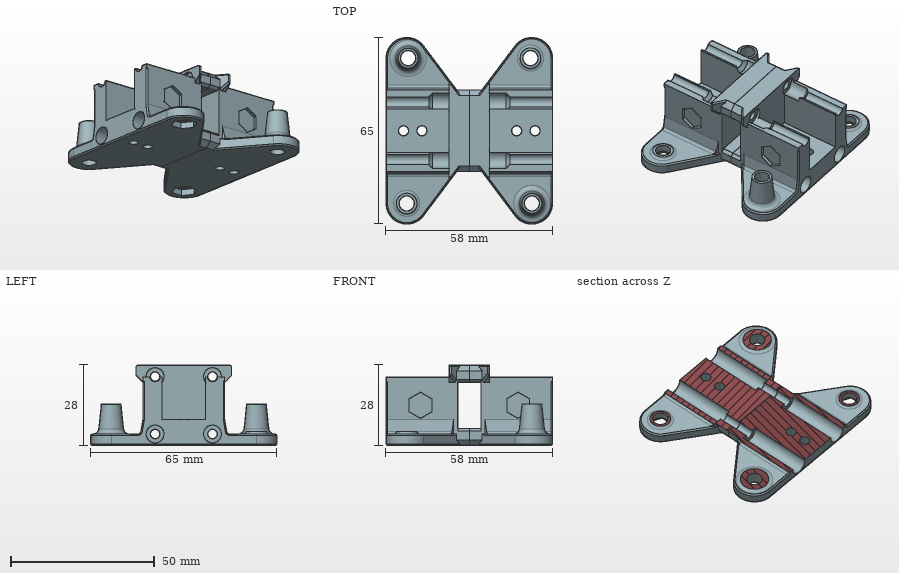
import cadquery as cq
import math

length = 58.0
width = 65.0
height = 28.0
half_length = length / 2
half_width = width / 2
edge_chamfer = 0.5
overcut = 1.0

seam_normal_limit = 0.99
side_normal_limit = 0.1

base_thickness = 4.0
pad_radius = 7.25
pad_x = half_length - pad_radius
pad_y = half_width - pad_radius

block_half_width = 14.25
block_chamfer = 2.0
waist_x = 4.45
window_half_length = 4.0
window_bottom = 5.0
window_top = 23.0
window_chamfer = 1.0

head_half_length = 7.0
head_half_width = 16.67
head_bevel_bottom = 22.0
head_blank_half_width = 18.5
head_bevel_top = head_bevel_bottom + head_blank_half_width - block_half_width

channel_half_width = 7.6
floor_height = 9.0
wall_top = 23.8
foot_half_width = 15.12
foot_fillet = 1.0
foot_end_setback = 0.83

waist_run = pad_x - waist_x
waist_rise = pad_y - block_half_width
waist_distance = math.hypot(waist_run, waist_rise)
slant_angle = math.atan2(waist_rise, waist_run) - math.acos(pad_radius / waist_distance)

screw_y = 10.0
lower_screw_z = 4.0
upper_screw_z = 24.0
screw_diameter = 3.2
screw_head_diameter = 6.2
screw_seat_x = 6.0
groove_diameter = 3.6
groove_neck_start_x = 12.8
groove_neck_end_x = groove_neck_start_x + (screw_head_diameter - groove_diameter) / 2

floor_hole_diameter = 3.4
floor_hole_xs = (16.5, 22.9)

hex_flats = 7.9
hex_flats_to_points = math.cos(math.pi / 6)
hex_x = 17.0
hex_z = 14.0
hex_depth = 1.2

boss_bore_diameter = 5.2
front_boss_x = 21.8
rear_boss_x = 21.3
boss_y = 25.3
tall_boss_top = 14.4
tall_boss_top_radius = 3.45
tall_boss_slope = math.radians(6.0)
tall_boss_fillet = 2.0
short_boss_radius = 3.55
short_boss_height = 0.8
short_boss_fillet = 1.0
nut_flats = hex_flats
nut_pocket_depth = 2.2
nut_pocket_turn = 3.0


def box_between(x_range, y_range, z_range):
    """Box given by its limits along each axis."""
    size = [limits[1] - limits[0] for limits in (x_range, y_range, z_range)]
    corner = (x_range[0], y_range[0], z_range[0])
    return cq.Workplane("XY").box(*size, centered=False).translate(corner)


def slant_point(y, setback=0.0):
    """Point at this distance from the X axis on the front slanted side, or on a line set back from it."""
    x = -waist_x - ((block_half_width - y) * math.sin(slant_angle) + setback) / math.cos(slant_angle)
    return (x, -y)


def mirrored_in_y(shape):
    """The shape together with its mirror image across the XZ plane."""
    return shape.union(shape.mirror("XZ"))


def front_quarter_plan():
    """Front left quarter in plan: a rounded pad whose slanted side narrows to the seam."""
    tangent = (
        -pad_x + pad_radius * math.cos(slant_angle),
        -pad_y + pad_radius * math.sin(slant_angle),
    )
    seam_y = block_half_width + waist_x * math.cos(slant_angle) / math.sin(slant_angle)
    middle_angle = (slant_angle - math.pi) / 2
    arc_middle = (
        -pad_x + pad_radius * math.cos(middle_angle),
        -pad_y + pad_radius * math.sin(middle_angle),
    )
    return (
        cq.Workplane("XY")
        .moveTo(-half_length, 0)
        .lineTo(-half_length, -pad_y)
        .threePointArc(arc_middle, tangent)
        .lineTo(0, -seam_y)
        .lineTo(0, 0)
        .close()
        .extrude(height)
    )


def front_half_section():
    """Front half of the section across X: base plate, sloped foot, wall and the still overwide head."""
    section = (
        cq.Workplane("YZ", origin=(-half_length, 0, 0))
        .moveTo(0, 0)
        .lineTo(-half_width, 0)
        .lineTo(-half_width, base_thickness)
        .lineTo(-foot_half_width, base_thickness)
        .lineTo(-block_half_width, floor_height)
        .lineTo(-block_half_width, head_bevel_bottom)
        .lineTo(-head_blank_half_width, head_bevel_top)
        .lineTo(-head_blank_half_width, height)
        .lineTo(0, height)
        .close()
        .extrude(half_length)
    )
    foot_corner = cq.NearestToPointSelector((-half_length / 2, -foot_half_width, base_thickness))
    return section.edges(foot_corner).fillet(foot_fillet)


def rim_edges(body):
    """Edges where the plan outline meets the section: around the end face, the pads and the slanted sides."""
    seam_edges = []
    side_edges = []
    for face in body.faces().vals():
        across = face.normalAt().x
        if across > seam_normal_limit:
            seam_edges += face.Edges()
        elif abs(across) > side_normal_limit:
            side_edges += face.Edges()

    def count(edge, edges):
        return sum(edge.isSame(other) for other in edges)

    return [edge for edge in side_edges if count(edge, side_edges) == 1 and count(edge, seam_edges) == 0]


def chamfered_shell():
    """Left half before any cuts, with a chamfer all around its outline."""
    quarter = front_quarter_plan().intersect(front_half_section())
    shell = mirrored_in_y(quarter).clean()
    return shell.newObject(rim_edges(shell)).chamfer(edge_chamfer)


def foot_end_cut():
    """Material beyond the setback end of the front foot, above the base plate."""
    outer = half_width
    return (
        cq.Workplane("XY", origin=(0, 0, base_thickness))
        .polyline(
            [
                slant_point(block_half_width, foot_end_setback),
                slant_point(outer, foot_end_setback),
                (0, -outer),
                (0, -block_half_width),
            ]
        )
        .close()
        .extrude(head_bevel_bottom - base_thickness)
    )


def overhang_cut():
    """Room outside the front wall where the head is cut away."""
    return box_between(
        (-length, -head_half_length),
        (-half_width, -block_half_width),
        (head_bevel_bottom, height + overcut),
    )


def head_side_cut():
    """Material outside the front side of the head and its chamfered top edge."""
    return (
        cq.Workplane("YZ", origin=(-half_length, 0, 0))
        .polyline(
            [
                (-head_half_width, head_bevel_bottom),
                (-head_half_width, height - edge_chamfer),
                (-head_half_width + edge_chamfer, height),
                (-half_width, height),
                (-half_width, head_bevel_bottom),
            ]
        )
        .close()
        .extrude(half_length)
    )


def middle_block():
    """Left half of the chamfered block that carries the seam face."""
    block = box_between((-head_half_length, 0), (-block_half_width, block_half_width), (0, height))
    return block.edges("|X").chamfer(block_chamfer)


def window_cut():
    """Opening along Y, with sloped top and bottom edges at both mouths."""
    low = window_bottom
    high = window_top
    inner = block_half_width - window_chamfer
    return (
        cq.Workplane("YZ", origin=(-window_half_length, 0, 0))
        .polyline(
            [
                (-block_half_width, low),
                (-inner, low + window_chamfer),
                (inner, low + window_chamfer),
                (block_half_width, low),
                (block_half_width, high),
                (inner, high - window_chamfer),
                (-inner, high - window_chamfer),
                (-block_half_width, high),
            ]
        )
        .close()
        .extrude(window_half_length)
    )


def rod(diameter, y, z, x_start, x_end):
    """Round bar along X."""
    return (
        cq.Workplane("YZ", origin=(x_start, 0, 0))
        .center(y, z)
        .circle(diameter / 2)
        .extrude(x_end - x_start)
    )


def upright_bar(diameter, x, y, top):
    """Round bar along Z, standing on the underside plane."""
    return cq.Workplane("XY").center(x, y).circle(diameter / 2).extrude(top)


def lower_screw_cut(y):
    """Screw hole through the floor with a long head bore from the outer end."""
    shank = rod(screw_diameter, y, lower_screw_z, -half_length, 0)
    return shank.union(rod(screw_head_diameter, y, lower_screw_z, -half_length, -screw_seat_x))


def upper_screw_cut(y):
    """Screw hole, head recess and narrowing tool groove along the top of a wall."""
    profile = (
        cq.Workplane("XY")
        .polyline(
            [
                (-half_length, 0),
                (-half_length, groove_diameter / 2),
                (-groove_neck_end_x, groove_diameter / 2),
                (-groove_neck_start_x, screw_head_diameter / 2),
                (-screw_seat_x, screw_head_diameter / 2),
                (-screw_seat_x, screw_diameter / 2),
                (0, screw_diameter / 2),
                (0, 0),
            ]
        )
        .close()
    )
    return profile.revolve(360, (0, 0, 0), (1, 0, 0)).translate((0, y, upper_screw_z))


def hex_cut():
    """Shallow hexagonal recess with upright points in the front wall face."""
    return (
        cq.Workplane("XZ", origin=(-hex_x, -block_half_width + hex_depth, hex_z))
        .transformed(rotate=(0, 0, 90))
        .polygon(6, hex_flats / hex_flats_to_points)
        .extrude(hex_depth)
    )


def turned_boss(profile, x, y):
    """Boss turned from its radial profile."""
    return profile.close().revolve(360, (0, 0, 0), (0, 1, 0)).translate((x, y, base_thickness))


def tall_boss(x, y):
    """Tapered standoff that flares into the pad."""
    rise = tall_boss_top - base_thickness
    foot_radius = tall_boss_top_radius + rise * math.tan(tall_boss_slope)
    flare_end = foot_radius + tall_boss_fillet * math.tan((math.pi / 2 - tall_boss_slope) / 2)
    middle_angle = (math.pi + tall_boss_slope + 1.5 * math.pi) / 2
    flare_middle = (
        flare_end + tall_boss_fillet * math.cos(middle_angle),
        tall_boss_fillet * (1 + math.sin(middle_angle)),
    )
    flare_start = (
        flare_end - tall_boss_fillet * math.cos(tall_boss_slope),
        tall_boss_fillet * (1 - math.sin(tall_boss_slope)),
    )
    profile = (
        cq.Workplane("XZ")
        .moveTo(0, 0)
        .lineTo(flare_end, 0)
        .threePointArc(flare_middle, flare_start)
        .lineTo(tall_boss_top_radius, rise)
        .lineTo(0, rise)
    )
    return turned_boss(profile, x, y)


def short_boss(x, y):
    """Low collar with a concave side that meets the pad smoothly."""
    flare_end = short_boss_radius + short_boss_fillet
    side_angle = math.acos(1 - short_boss_height / short_boss_fillet)
    side_middle = (
        flare_end - short_boss_fillet * math.sin(side_angle / 2),
        short_boss_fillet * (1 - math.cos(side_angle / 2)),
    )
    side_top = (flare_end - short_boss_fillet * math.sin(side_angle), short_boss_height)
    profile = (
        cq.Workplane("XZ")
        .moveTo(0, 0)
        .lineTo(flare_end, 0)
        .threePointArc(side_middle, side_top)
        .lineTo(0, short_boss_height)
    )
    return turned_boss(profile, x, y)


def nut_cut(x, y):
    """Hexagonal nut pocket in the underside, turned slightly from the X axis."""
    return (
        cq.Workplane("XY")
        .transformed(rotate=(0, 0, nut_pocket_turn))
        .polygon(6, nut_flats / hex_flats_to_points)
        .extrude(nut_pocket_depth)
        .translate((x, y, 0))
    )


def plain_half():
    """Left half without its bosses."""
    half = chamfered_shell()
    half = half.cut(mirrored_in_y(foot_end_cut()))
    half = half.cut(mirrored_in_y(head_side_cut()))
    half = half.cut(mirrored_in_y(overhang_cut()))
    half = half.union(middle_block())
    half = half.cut(window_cut())

    outer_x = (-length, -head_half_length)
    half = half.cut(box_between(outer_x, (-half_width, half_width), (wall_top, height + overcut)))
    half = half.cut(
        box_between(outer_x, (-channel_half_width, channel_half_width), (floor_height, height + overcut))
    )

    for y in (-screw_y, screw_y):
        half = half.cut(lower_screw_cut(y))
        half = half.cut(upper_screw_cut(y))
    for x in floor_hole_xs:
        half = half.cut(upright_bar(floor_hole_diameter, -x, 0, floor_height))
    return half.cut(mirrored_in_y(hex_cut()))


def add_bosses(half, tall, short):
    """Half with one tall and one short boss, given by their places, and the bores through both."""
    half = half.union(tall_boss(*tall)).union(short_boss(*short))
    for x, y in (tall, short):
        half = half.cut(upright_bar(boss_bore_diameter, x, y, tall_boss_top))
    return half.cut(nut_cut(*short))


front_left = (-front_boss_x, -boss_y)
front_right = (front_boss_x, -boss_y)
rear_left = (-rear_boss_x, boss_y)
rear_right = (rear_boss_x, boss_y)

left_half = add_bosses(plain_half(), rear_left, front_left)
right_half = add_bosses(plain_half().mirror("YZ"), front_right, rear_right)

result = cq.Compound.makeCompound([left_half.val(), right_half.val()])